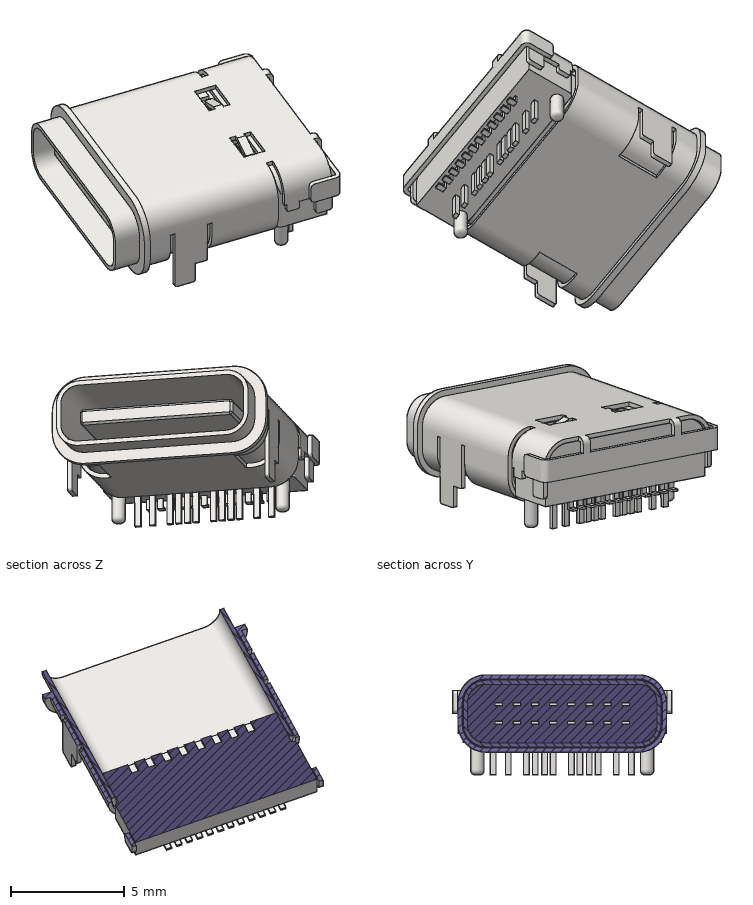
import cadquery as cq
import math


CORE_HALF_X = 3.36
CORE_HALF_Z = 0.47
SHEET = 0.2
TUBE_RADIUS = 1.01
TUBE_BORE_RADIUS = TUBE_RADIUS - SHEET
COVER_RADIUS = 1.24
COVER_BORE_RADIUS = COVER_RADIUS - SHEET
FLANGE_RADIUS = 1.51

COVER_HALF_X = CORE_HALF_X + COVER_RADIUS
COVER_TOP = CORE_HALF_Z + COVER_RADIUS
OVERALL_HEIGHT = 4.69
LEAD_TIP_Z = CORE_HALF_Z + FLANGE_RADIUS - OVERALL_HEIGHT

FLANGE_FRONT = 1.17
FLANGE_REAR = 1.46
TUBE_REAR = 7.65
SLOT_FRONT = 7.82
SLOT_REAR = 8.12
COVER_REAR = 10.45
BACK_REAR = 10.82

LEG_FRONT = 2.78
LEG_REAR = 4.37
LEG_TIP_REAR = 3.78
LEG_SLOT_WIDTH = 0.21
LEG_SLOT_TOP = 0.3
LEG_WINDOW_INNER_X = 3.08
LEG_CORNER = 0.12
LEG_SHOULDER_CORNER = 0.08

SIDE_EDGE_Z = 0.09
SIDE_TAB_FRONT = 8.24
SIDE_TAB_REAR = 8.84
SIDE_TAB_BOTTOM = -0.3
SIDE_TAB_CORNER = 0.08
FLAP_FRONT = 9.65
FLAP_BOTTOM = -0.88
FLAP_CORNER = 0.15

STRAP_HALF_X = 4.83
STRAP_TOP = 1.02
STRAP_BOTTOM = 0.0
STRAP_BEND_RADIUS = 0.3
WING_FRONT = 9.31
WING_CORNER = 0.18
STRAP_TAB_X = 2.5
STRAP_TAB_WIDTH = 0.4

WINDOW_INNER_X = 1.07
WINDOW_OUTER_X = 2.57
WINDOW_FRONT = 7.1
WINDOW_REAR = 8.12
LEAF_HINGE_X = 1.22
LEAF_TIP_X = 2.27
LEAF_FRONT = 7.39
LEAF_REAR = 7.81
LEAF_TIP_CORNER = 0.18
LEAF_SLOPE = 21
LEAF_DROP = (LEAF_TIP_X - LEAF_HINGE_X) * math.tan(math.radians(LEAF_SLOPE))
LEAF_POCKET_FLOOR = 1.0
TUBE_NOTCH_FRONT = 7.13

BODY_FRONT = 6.2
BLOCK_FRONT = 7.92
BLOCK_REAR = 10.29
BLOCK_BOTTOM = -1.27
BLOCK_CORNER = 0.2
TONGUE_FRONT = 0.65
TONGUE_WIDTH = 6.95
TONGUE_THICKNESS = 0.7
TONGUE_CHAMFER = 0.1

OPENING_COUNT = 8
OPENING_PITCH = 0.8
OPENING_WIDTH = 0.32
OPENING_HEIGHT = 0.94
OPENING_DEPTH = 0.5
TONGUE_REAR = BODY_FRONT + OPENING_DEPTH

PEG_X = 3.74
PEG_Y = 8.36
PEG_DIAMETER = 0.6
PEG_ROUND = 0.2

LEAD_WIDTH = 0.26
PIN_X = (0.4, 0.78, 1.19, 1.58, 2.38, 3.05)
PIN_FRONT = 9.0
PIN_REAR = 9.19
TAIL_COUNT = 12
TAIL_PITCH = 0.5
TAIL_FRONT = 9.9
TAIL_THICKNESS = 0.1
TAIL_BOTTOM = -1.72

BEYOND = 10.0


def block(x0, x1, y0, y1, z0, z1):
    """Box between two opposite corners."""
    return cq.Workplane("XY").box(x1 - x0, y1 - y0, z1 - z0, centered=False).translate((x0, y0, z0))


def rounded_bar(radius, y0, y1):
    """Bar along Y whose section is the core rectangle grown by the radius."""
    half_x = CORE_HALF_X + radius
    half_z = CORE_HALF_Z + radius
    return block(-half_x, half_x, y0, y1, -half_z, half_z).edges("|Y").fillet(radius)


def both_sides(shape):
    """The shape together with its mirror image across the YZ plane."""
    return shape.union(shape.mirror("YZ"))


def row(count, pitch):
    """X places of a row centred on x = 0."""
    return [(i - (count - 1) / 2) * pitch for i in range(count)]




def side_flaps():
    """Straight flap and tab that hang down from one side edge of the rear of the cover."""
    inner_x = COVER_HALF_X - SHEET
    flap = block(inner_x, COVER_HALF_X, FLAP_FRONT, COVER_REAR, FLAP_BOTTOM, SIDE_EDGE_Z)
    flap = flap.edges("|X and <Z").fillet(FLAP_CORNER)
    tab = block(inner_x, COVER_HALF_X, SIDE_TAB_FRONT, SIDE_TAB_REAR, SIDE_TAB_BOTTOM, SIDE_EDGE_Z)
    return flap.union(tab.edges("|X and <Z").fillet(SIDE_TAB_CORNER))


def cover_shell():
    shell = rounded_bar(COVER_RADIUS, FLANGE_REAR, COVER_REAR)
    shell = shell.cut(rounded_bar(COVER_BORE_RADIUS, FLANGE_REAR, COVER_REAR))
    side_slot = block(CORE_HALF_X, BEYOND, SLOT_FRONT, SLOT_REAR, -BEYOND, BEYOND)
    rear_opening = block(-BEYOND, BEYOND, SLOT_FRONT, COVER_REAR, -BEYOND, SIDE_EDGE_Z)
    return shell.cut(both_sides(side_slot)).cut(rear_opening).union(both_sides(side_flaps()))


def flange():
    ring = rounded_bar(FLANGE_RADIUS, FLANGE_FRONT, FLANGE_REAR)
    return ring.cut(rounded_bar(TUBE_RADIUS, FLANGE_FRONT, FLANGE_REAR))


def leg_window():
    return block(
        LEG_WINDOW_INNER_X, BEYOND,
        LEG_FRONT - LEG_SLOT_WIDTH, LEG_REAR + LEG_SLOT_WIDTH,
        -BEYOND, LEG_SLOT_TOP,
    )


def leg():
    inner_x = COVER_HALF_X - SHEET
    shoulder = block(inner_x, COVER_HALF_X, LEG_FRONT, LEG_REAR, -COVER_TOP, LEG_SLOT_TOP)
    shoulder = shoulder.edges("|X and >Y and <Z").fillet(LEG_SHOULDER_CORNER)
    tip = block(inner_x, COVER_HALF_X, LEG_FRONT, LEG_TIP_REAR, LEAD_TIP_Z, LEG_SLOT_TOP)
    tip = tip.edges("|X and <Z").fillet(LEG_CORNER)
    return shoulder.union(tip)


def back_strap():
    inner_half_x = STRAP_HALF_X - SHEET
    strap = block(-STRAP_HALF_X, STRAP_HALF_X, WING_FRONT, BACK_REAR, STRAP_BOTTOM, STRAP_TOP)
    strap = strap.edges("|Z and >Y").fillet(STRAP_BEND_RADIUS)
    strap = strap.edges("|X and <Y").fillet(WING_CORNER)
    hollow = block(-inner_half_x, inner_half_x, 0, BACK_REAR - SHEET, STRAP_BOTTOM, STRAP_TOP)
    return strap.cut(hollow.edges("|Z and >Y").fillet(STRAP_BEND_RADIUS - SHEET))


def strap_tab():
    """Bent tab that joins the cover top to the back strap."""
    half_width = STRAP_TAB_WIDTH / 2
    outer = block(-half_width, half_width, COVER_REAR, BACK_REAR, STRAP_BOTTOM, COVER_TOP)
    outer = outer.edges("|X and >Y and >Z").fillet(STRAP_BEND_RADIUS)
    inner = block(-half_width, half_width, 0, BACK_REAR - SHEET, STRAP_BOTTOM, COVER_TOP - SHEET)
    inner = inner.edges("|X and >Y and >Z").fillet(STRAP_BEND_RADIUS - SHEET)
    return outer.cut(inner).translate((STRAP_TAB_X, 0, 0))


def leaf_window():
    return block(WINDOW_INNER_X, WINDOW_OUTER_X, WINDOW_FRONT, WINDOW_REAR, 0, BEYOND)


def leaf_plan(bottom):
    """Plan outline of one spring leaf, standing up from the given height."""
    plan = block(WINDOW_INNER_X, LEAF_TIP_X, LEAF_FRONT, LEAF_REAR, bottom, COVER_TOP)
    return plan.edges("|Z and >X").fillet(LEAF_TIP_CORNER)


def leaf():
    upper_edge = [
        (WINDOW_INNER_X, COVER_TOP),
        (LEAF_HINGE_X, COVER_TOP),
        (LEAF_TIP_X, COVER_TOP - LEAF_DROP),
    ]
    lower_edge = [(x, z - SHEET) for x, z in reversed(upper_edge)]
    sheet = (
        cq.Workplane("XZ", origin=(0, LEAF_REAR, 0))
        .polyline(upper_edge + lower_edge)
        .close()
        .extrude(LEAF_REAR - LEAF_FRONT)
    )
    return sheet.intersect(leaf_plan(0))


def make_cover():
    cover = cover_shell().union(flange())
    cover = cover.cut(both_sides(leg_window())).union(both_sides(leg()))
    cover = cover.union(back_strap()).union(both_sides(strap_tab()))
    return cover.cut(both_sides(leaf_window())).union(both_sides(leaf()))




def make_tube():
    tube = rounded_bar(TUBE_RADIUS, 0, TUBE_REAR).cut(rounded_bar(TUBE_BORE_RADIUS, 0, TUBE_REAR))
    notch = block(WINDOW_INNER_X, LEAF_TIP_X, TUBE_NOTCH_FRONT, TUBE_REAR, 0, BEYOND)
    return tube.cut(both_sides(notch))




def rear_block():
    """Block that fills the rear of the cover and hangs down between its sides."""
    half_x = CORE_HALF_X + TUBE_RADIUS
    plan = block(-half_x, half_x, BLOCK_FRONT, BLOCK_REAR, BLOCK_BOTTOM, BEYOND)
    plan = plan.edges("|Z and <Y").fillet(BLOCK_CORNER)
    upper_half = rounded_bar(TUBE_RADIUS, BLOCK_FRONT, BLOCK_REAR)
    lower_half = block(-half_x, half_x, BLOCK_FRONT, BLOCK_REAR, BLOCK_BOTTOM, 0)
    return plan.intersect(upper_half.union(lower_half))


def tongue():
    half_x = TONGUE_WIDTH / 2
    half_z = TONGUE_THICKNESS / 2
    blade = block(-half_x, half_x, TONGUE_FRONT, TONGUE_REAR, -half_z, half_z)
    return blade.edges("|Y").chamfer(TONGUE_CHAMFER).faces("<Y").chamfer(TONGUE_CHAMFER)


def contact_openings():
    opening = block(
        -OPENING_WIDTH / 2, OPENING_WIDTH / 2,
        BODY_FRONT, BODY_FRONT + OPENING_DEPTH,
        -OPENING_HEIGHT / 2, OPENING_HEIGHT / 2,
    )
    return [opening.translate((x, 0, 0)) for x in row(OPENING_COUNT, OPENING_PITCH)]


def peg():
    post = cq.Workplane("XY", origin=(PEG_X, PEG_Y, LEAD_TIP_Z)).circle(PEG_DIAMETER / 2)
    return post.extrude(BLOCK_BOTTOM - LEAD_TIP_Z).faces("<Z").edges().fillet(PEG_ROUND)


def pin():
    return block(-LEAD_WIDTH / 2, LEAD_WIDTH / 2, PIN_FRONT, PIN_REAR, LEAD_TIP_Z, BLOCK_BOTTOM)


def tail():
    half_width = LEAD_WIDTH / 2
    stem = block(
        -half_width, half_width,
        TAIL_FRONT, TAIL_FRONT + TAIL_THICKNESS,
        TAIL_BOTTOM, BLOCK_BOTTOM,
    )
    foot = block(
        -half_width, half_width,
        TAIL_FRONT, BLOCK_REAR,
        TAIL_BOTTOM, TAIL_BOTTOM + TAIL_THICKNESS,
    )
    return stem.union(foot)


def make_insulator():
    insulator = rounded_bar(TUBE_BORE_RADIUS, BODY_FRONT, BLOCK_FRONT).union(rear_block())
    for opening in contact_openings():
        insulator = insulator.cut(opening)
    insulator = insulator.union(tongue()).union(both_sides(peg()))
    for x in PIN_X:
        insulator = insulator.union(both_sides(pin().translate((x, 0, 0))))
    for x in row(TAIL_COUNT, TAIL_PITCH):
        insulator = insulator.union(tail().translate((x, 0, 0)))
    pocket = leaf_plan(LEAF_POCKET_FLOOR)
    return insulator.cut(both_sides(pocket))


cover = make_cover()
tube = make_tube()
insulator = make_insulator()

bodies = [cover, tube, insulator]
result = cq.Compound.makeCompound([body.solids().val() for body in bodies])